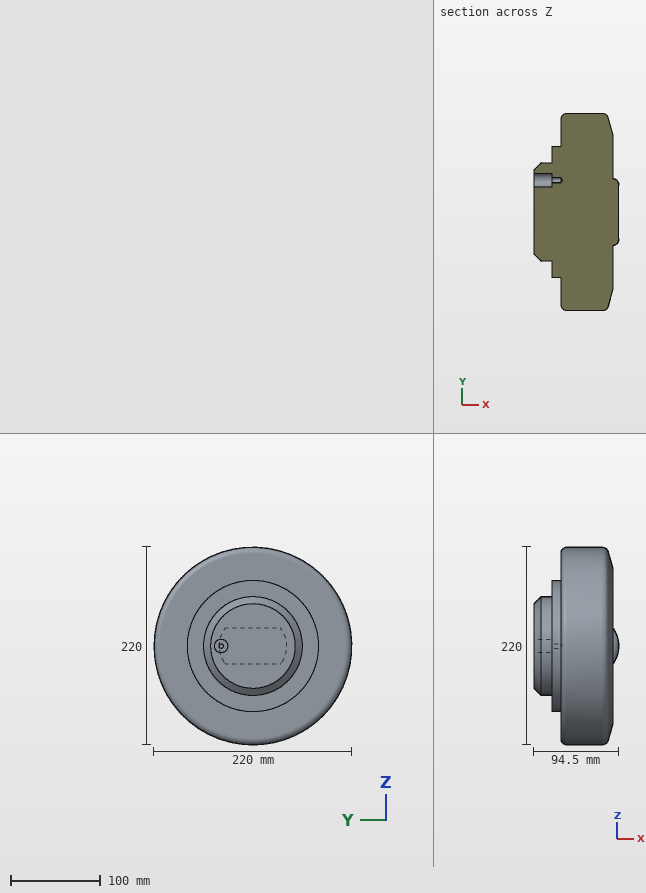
import cadquery as cq
import math

wheel_radius = 110.0
flange_radius = 73.0
hub_radius = 55.0
hub_chamfer = 8.0
hub_length = 20.0
flange_thickness = 10.0
rim_fillet = 6.8
crown_radius = 86.7
crown_slope = 16.0
total_length = 94.5

bar_height = 6.5
bar_sink = 0.7
bar_half_width = 21.0
bar_straight_length = 60.3

hole_offset = 35.5
bore_diameter = 15.0
bore_depth = 20.0
pilot_diameter = 5.0
pilot_depth = 10.0
drill_tip_angle = 118.0

flange_x = hub_length
wheel_x = flange_x + flange_thickness
crown_x = total_length - bar_height
cone_base_x = crown_x - (wheel_radius - crown_radius) * math.tan(math.radians(crown_slope))
bar_base_x = crown_x - bar_sink


def make_hub_and_flange():
    """Chamfered hub on a wider flange."""
    hub = cq.Workplane("YZ").circle(hub_radius).extrude(wheel_x)
    hub = hub.faces("<X").chamfer(hub_chamfer)
    flange = cq.Workplane("YZ", origin=(flange_x, 0, 0)).circle(flange_radius).extrude(flange_thickness)
    return hub.union(flange)


def make_wheel():
    """Disc with a conical band on the far side and both outer edges rounded."""
    disc = (
        cq.Workplane("XY")
        .moveTo(wheel_x, 0)
        .lineTo(wheel_x, wheel_radius)
        .lineTo(cone_base_x, wheel_radius)
        .lineTo(crown_x, crown_radius)
        .lineTo(crown_x, 0)
        .close()
        .revolve(360, (0, 0, 0), (1, 0, 0))
    )
    rim_edges = cq.selectors.RadiusNthSelector(-1)
    return disc.edges(rim_edges).fillet(rim_fillet)


def bar_section(y):
    """Circular segment at the given Y, its chord just below the far face."""
    return (
        cq.Workplane("XZ", origin=(bar_base_x, y, 0))
        .moveTo(0, -bar_half_width)
        .threePointArc((bar_height + bar_sink, 0), (0, bar_half_width))
        .close()
    )


def make_bar():
    """Straight bar whose ends are its section turned a quarter turn about the chord."""
    half_length = bar_straight_length / 2
    bar = bar_section(half_length).extrude(bar_straight_length)
    for end in (-1, 1):
        quarter = bar_section(end * half_length).revolve(90, (0, 0, 0), (0, end, 0))
        bar = bar.union(quarter)
    return bar


def make_stepped_hole():
    """Flat-bottomed bore followed by a small pilot hole with a drill tip."""
    bore_radius = bore_diameter / 2
    pilot_radius = pilot_diameter / 2
    pilot_end = bore_depth + pilot_depth
    tip_x = pilot_end + pilot_radius / math.tan(math.radians(drill_tip_angle / 2))
    return (
        cq.Workplane("XY", origin=(0, hole_offset, 0))
        .moveTo(0, 0)
        .lineTo(0, bore_radius)
        .lineTo(bore_depth, bore_radius)
        .lineTo(bore_depth, pilot_radius)
        .lineTo(pilot_end, pilot_radius)
        .lineTo(tip_x, 0)
        .close()
        .revolve(360, (0, 0, 0), (1, 0, 0))
    )


result = make_hub_and_flange().union(make_wheel()).union(make_bar()).cut(make_stepped_hole())